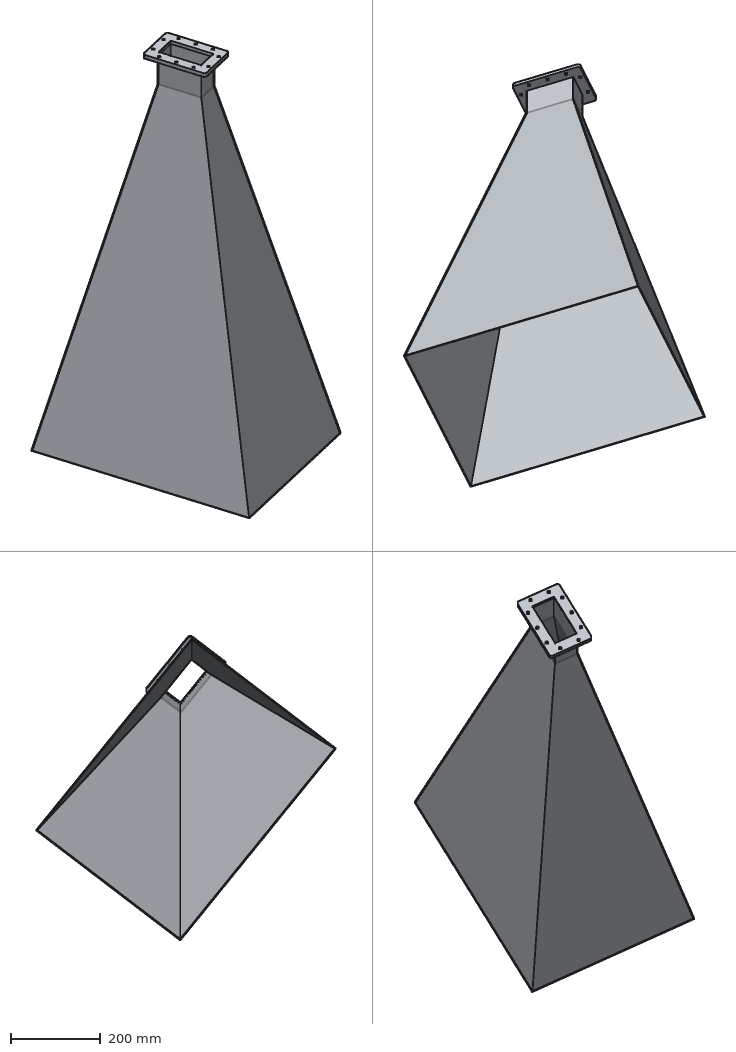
import cadquery as cq

total_height = 1029.0
mouth_x = 562.0
mouth_y = 409.0
wall = 2.0

bore_x = 109.0
bore_y = 55.0
throat_length = 84.0
horn_height = total_height - throat_length

flange_x = 162.0
flange_y = 106.0
flange_thickness = 10.0
flange_corner_radius = 6.0

hole_diameter = 6.0
long_row_pitch = 44.0
long_row_offset = 43.0
short_row_pitch = 46.0
short_row_offset = 71.0


def pyramid(bottom_x, bottom_y, top_x, top_y):
    """Rectangular frustum from the mouth up to the throat."""
    return (
        cq.Workplane("XY")
        .rect(bottom_x, bottom_y)
        .workplane(offset=horn_height)
        .rect(top_x, top_y)
        .loft(ruled=True)
    )


def throat_block(size_x, size_y):
    """Straight rectangular block from the horn up to the flange face."""
    return (
        cq.Workplane("XY")
        .workplane(offset=horn_height)
        .rect(size_x, size_y)
        .extrude(throat_length)
    )


def flange_plate():
    """Round-cornered plate whose top face closes the overall height."""
    return (
        cq.Workplane("XY")
        .workplane(offset=total_height - flange_thickness)
        .rect(flange_x, flange_y)
        .extrude(flange_thickness)
        .edges("|Z")
        .fillet(flange_corner_radius)
    )


def bolt_holes():
    """Three holes along each long side and two along each short side."""
    points = []
    for side in (-1, 1):
        for step in (-1, 0, 1):
            points.append((step * long_row_pitch, side * long_row_offset))
        for half in (-0.5, 0.5):
            points.append((side * short_row_offset, half * short_row_pitch))
    return (
        cq.Workplane("XY")
        .workplane(offset=total_height - flange_thickness)
        .pushPoints(points)
        .circle(hole_diameter / 2)
        .extrude(flange_thickness)
    )


throat_x = bore_x + 2 * wall
throat_y = bore_y + 2 * wall

outer = pyramid(mouth_x, mouth_y, throat_x, throat_y)
outer = outer.union(throat_block(throat_x, throat_y)).union(flange_plate())

passage = pyramid(mouth_x - 2 * wall, mouth_y - 2 * wall, bore_x, bore_y)
passage = passage.union(throat_block(bore_x, bore_y))

result = outer.cut(passage).cut(bolt_holes())